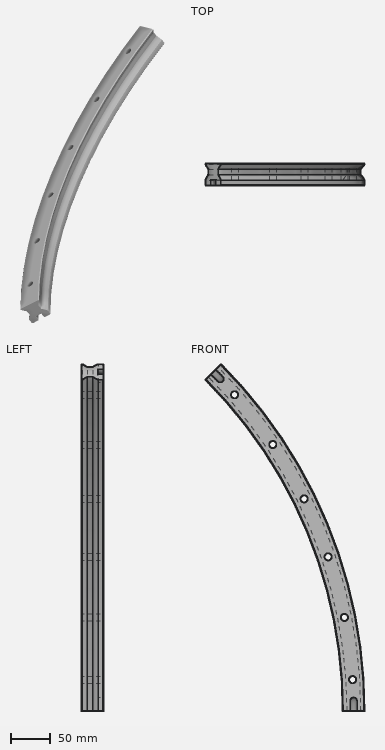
import cadquery as cq
import math

SWEEP = 45.0
HEIGHT = 434.0
OUTER_RADIUS = HEIGHT / math.sin(math.radians(SWEEP))
RAIL_SIZE = 28.0
INNER_RADIUS = OUTER_RADIUS - RAIL_SIZE
MID_RADIUS = OUTER_RADIUS - RAIL_SIZE / 2

CHAMFER = 1.0
FRONT_LIP_END = 7.0
FRONT_BEND = 10.0
FLOOR_START = 14.0
FLOOR_END = 20.5
BACK_BEND = 24.5
BACK_LIP_END = 26.5
BEND_DEPTH = 1.95
FLOOR_DEPTH = 5.0

HOLE_COUNT = 6
HOLE_DIAMETER = 8.5
HOLE_PITCH = SWEEP / HOLE_COUNT

SLOT_WIDTH = 8.5
SLOT_LENGTH = 17.0
SLOT_DEPTH = 7.5


def rail_body():
    """Revolve the chamfered, twin-grooved section through the sweep."""
    flank = [
        (CHAMFER, 0),
        (0, CHAMFER),
        (0, FRONT_LIP_END),
        (BEND_DEPTH, FRONT_BEND),
        (FLOOR_DEPTH, FLOOR_START),
        (FLOOR_DEPTH, FLOOR_END),
        (BEND_DEPTH, BACK_BEND),
        (0, BACK_LIP_END),
        (0, RAIL_SIZE - CHAMFER),
        (CHAMFER, RAIL_SIZE),
    ]
    inner_side = [(INNER_RADIUS + depth, y) for depth, y in flank]
    outer_side = [(OUTER_RADIUS - depth, y) for depth, y in reversed(flank)]
    section = cq.Workplane("XY").polyline(inner_side + outer_side).close()
    return section.revolve(SWEEP, (0, 0, 0), (0, -1, 0))


def turn_along_rail(shape, angle):
    """Turn a shape about the rail axis, from +X towards +Z."""
    return shape.rotate((0, 0, 0), (0, -1, 0), angle)


def mounting_hole():
    """Hole cutter through the full rail, at the start of the sweep."""
    return (
        cq.Workplane("XZ", origin=(MID_RADIUS, 0, 0))
        .circle(HOLE_DIAMETER / 2)
        .extrude(-RAIL_SIZE)
    )


def end_slot():
    """Slot cutter centred on the end plane, so half of it lies in the rail."""
    return (
        cq.Workplane("XZ", origin=(MID_RADIUS, 0, 0))
        .slot2D(2 * SLOT_LENGTH, SLOT_WIDTH, 90)
        .extrude(-SLOT_DEPTH)
    )


result = rail_body()

for index in range(HOLE_COUNT):
    hole_angle = (index + 0.5) * HOLE_PITCH
    result = result.cut(turn_along_rail(mounting_hole(), hole_angle))

for end_angle in (0, SWEEP):
    result = result.cut(turn_along_rail(end_slot(), end_angle))